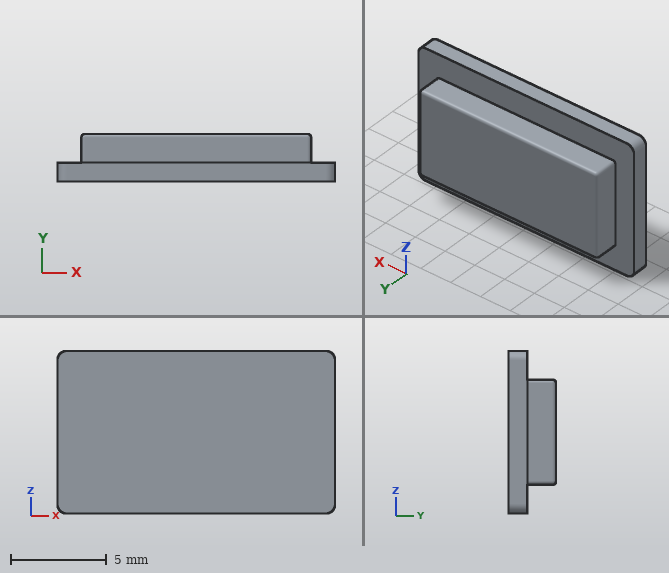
import cadquery as cq

plate_length = 14.5
plate_height = 8.5
plate_thickness = 1.0
plate_corner_radius = 0.5

block_length = 12.0
block_height = 5.5
total_depth = 2.5
block_depth = total_depth - plate_thickness
block_edge_radius = 0.2


def make_plate():
    """Flat plate from Y = 0 to its thickness, with its four corners rounded."""
    plate = cq.Workplane("XY").box(
        plate_length, plate_thickness, plate_height, centered=(True, False, True)
    )
    return plate.edges("|Y").fillet(plate_corner_radius)


def make_block():
    """Block standing on the plate, rounded on its corners and rear rim."""
    block = cq.Workplane("XY").box(
        block_length, block_depth, block_height, centered=(True, False, True)
    )
    block = block.edges("|Y or >Y").fillet(block_edge_radius)
    return block.translate((0, plate_thickness, 0))


result = make_plate().union(make_block())